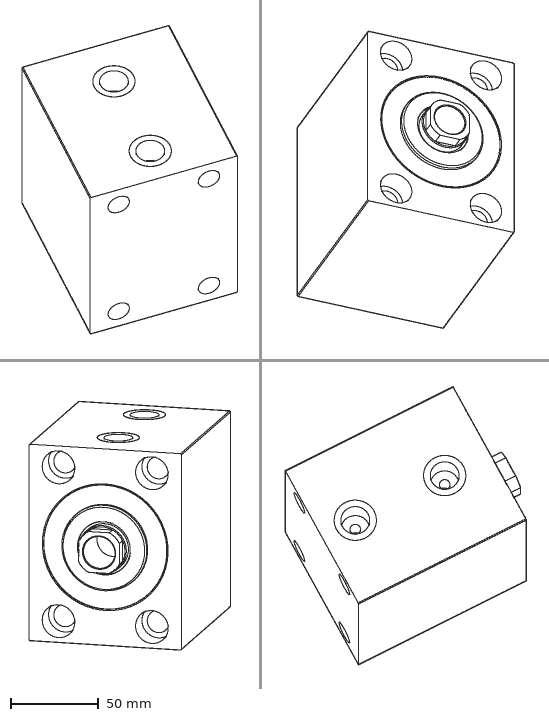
import cadquery as cq
import math


OVERALL_LENGTH = 121.5
ROD_REACH = 13.6
BLOCK_LENGTH = OVERALL_LENGTH - ROD_REACH
BLOCK_WIDTH = 90.0
BLOCK_HEIGHT = 115.0
BLOCK_EDGE_CHAMFER = 0.6

BOLT_SPACING_Y = 55.0
BOLT_SPACING_Z = 90.0
BOLT_HOLE_DIAMETER = 13.0
BOLT_HEAD_DIAMETER = 19.2
BOLT_HEAD_DEPTH = 14.0

FRONT_PORT_X = 28.9
PORT_SPACING = 57.5
PORT_DIAMETER = 16.4
PORT_DEPTH = 17.0
PORT_SEAT_DIAMETER = 24.0
PORT_SEAT_DEPTH = 0.1
PASSAGE_DIAMETER = 6.0
REAR_PORT_X = FRONT_PORT_X + PORT_SPACING

BORE_DIAMETER = 50.0
BORE_END_X = REAR_PORT_X + PASSAGE_DIAMETER / 2
PISTON_END_GAP = 0.5
PISTON_END_X = BORE_END_X - PISTON_END_GAP

GLAND_DIAMETER = 72.7
GLAND_SEAT_DEPTH = 14.6
GLAND_SEAT_CHAMFER = 0.7
GLAND_NOSE_END_X = FRONT_PORT_X
COLLAR_HEIGHT = 2.9
COLLAR_DIAMETER = 50.0
COLLAR_CHAMFER = 1.0
WIPER_RECESS_DIAMETER = 31.1
WIPER_RECESS_DEPTH = 1.7

ROD_DIAMETER = 28.1
ROD_CHAMFER = 0.6
WRENCH_LENGTH = 7.0
WRENCH_DIAMETER = ROD_DIAMETER - 2 * ROD_CHAMFER
WRENCH_FLATS = 23.9
ROD_TIP_X = -ROD_REACH
ROD_SHOULDER_X = ROD_TIP_X + WRENCH_LENGTH
ROD_HOLE_DIAMETER = 18.6
ROD_HOLE_CHAMFER = 0.5
ROD_HOLE_DEPTH = 30.4
DRILL_POINT_ANGLE = 118.0


def axial_cylinder(diameter, start_x, end_x):
    """Cylinder on the X axis between two X positions."""
    return cq.Workplane("YZ", origin=(start_x, 0, 0)).circle(diameter / 2).extrude(end_x - start_x)


def countersink(hole_diameter, chamfer, mouth_x):
    """Cone that breaks the mouth of a hole on the X axis at 45 degrees."""
    hole_radius = hole_diameter / 2
    mouth = cq.Vector(mouth_x, 0, 0)
    return cq.Solid.makeCone(hole_radius + chamfer, hole_radius, chamfer, mouth, cq.Vector(1, 0, 0))


def port_cylinder(diameter, port_x, bottom_z):
    """Vertical cylinder from the top face of the block down to bottom_z."""
    return (
        cq.Workplane("XY", origin=(port_x, 0, bottom_z))
        .circle(diameter / 2)
        .extrude(BLOCK_HEIGHT / 2 - bottom_z)
    )


def make_block():
    block = (
        cq.Workplane("XY")
        .box(BLOCK_LENGTH, BLOCK_WIDTH, BLOCK_HEIGHT)
        .translate((BLOCK_LENGTH / 2, 0, 0))
        .edges("|X")
        .chamfer(BLOCK_EDGE_CHAMFER)
    )

    for side_y in (-1, 1):
        for side_z in (-1, 1):
            place = (0, side_y * BOLT_SPACING_Y / 2, side_z * BOLT_SPACING_Z / 2)
            block = block.cut(axial_cylinder(BOLT_HOLE_DIAMETER, 0, BLOCK_LENGTH).translate(place))
            block = block.cut(axial_cylinder(BOLT_HEAD_DIAMETER, 0, BOLT_HEAD_DEPTH).translate(place))

    block = block.cut(axial_cylinder(BORE_DIAMETER, 0, BORE_END_X))
    block = block.cut(axial_cylinder(GLAND_DIAMETER, 0, GLAND_SEAT_DEPTH))
    block = block.cut(countersink(GLAND_DIAMETER, GLAND_SEAT_CHAMFER, 0))

    for port_x in (FRONT_PORT_X, REAR_PORT_X):
        block = block.cut(port_cylinder(PORT_SEAT_DIAMETER, port_x, BLOCK_HEIGHT / 2 - PORT_SEAT_DEPTH))
        block = block.cut(port_cylinder(PORT_DIAMETER, port_x, BLOCK_HEIGHT / 2 - PORT_DEPTH))
        block = block.cut(port_cylinder(PASSAGE_DIAMETER, port_x, 0))
    return block


def make_gland():
    collar = axial_cylinder(COLLAR_DIAMETER, -COLLAR_HEIGHT, 0).faces("<X").chamfer(COLLAR_CHAMFER)
    flange = axial_cylinder(GLAND_DIAMETER, 0, GLAND_SEAT_DEPTH)
    nose = axial_cylinder(BORE_DIAMETER, GLAND_SEAT_DEPTH, GLAND_NOSE_END_X)
    gland = flange.union(collar).union(nose)
    gland = gland.cut(axial_cylinder(ROD_DIAMETER, -COLLAR_HEIGHT, GLAND_NOSE_END_X))
    recess = axial_cylinder(WIPER_RECESS_DIAMETER, -COLLAR_HEIGHT, WIPER_RECESS_DEPTH - COLLAR_HEIGHT)
    return gland.cut(recess)


def make_piston_rod():
    shaft = axial_cylinder(ROD_DIAMETER, ROD_SHOULDER_X, GLAND_NOSE_END_X).faces("<X").chamfer(ROD_CHAMFER)
    piston = axial_cylinder(BORE_DIAMETER, GLAND_NOSE_END_X, PISTON_END_X)

    square = (
        cq.Workplane("YZ", origin=(ROD_TIP_X, 0, 0))
        .rect(WRENCH_FLATS, WRENCH_FLATS)
        .extrude(WRENCH_LENGTH)
    )
    wrench_end = axial_cylinder(WRENCH_DIAMETER, ROD_TIP_X, ROD_SHOULDER_X).intersect(square)

    hole_radius = ROD_HOLE_DIAMETER / 2
    point_length = hole_radius / math.tan(math.radians(DRILL_POINT_ANGLE / 2))
    hole_end_x = ROD_TIP_X + ROD_HOLE_DEPTH
    hole = (
        cq.Workplane("XY")
        .moveTo(ROD_TIP_X, 0)
        .lineTo(ROD_TIP_X, hole_radius + ROD_HOLE_CHAMFER)
        .lineTo(ROD_TIP_X + ROD_HOLE_CHAMFER, hole_radius)
        .lineTo(hole_end_x, hole_radius)
        .lineTo(hole_end_x + point_length, 0)
        .close()
        .revolve(360, (0, 0, 0), (1, 0, 0))
    )
    return piston.union(shaft).union(wrench_end).cut(hole)


block = make_block()
gland = make_gland()
piston_rod = make_piston_rod()

result = cq.Compound.makeCompound([block.val(), gland.val(), piston_rod.val()])